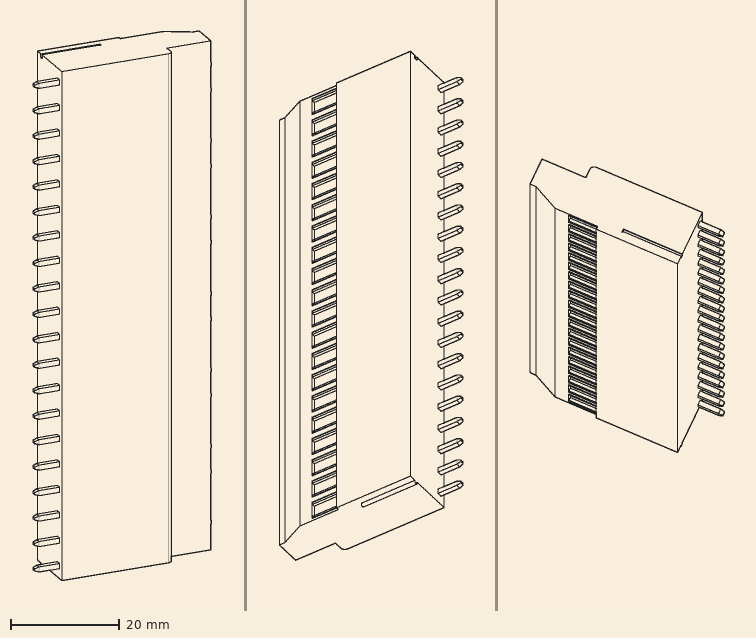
import cadquery as cq

overall_height = 102.2
pole_count = 20
pitch = 5.08
body_height = pole_count * pitch

body_width = 11.1
body_depth = 31.4
side_step = 0.6
side_step_y = 16.6
slope_start_y = 25.1
slope_end_y = 30.1
rear_left_x = 3.1
rear_right_x = 8.5
shoulder_y = 22.5
shoulder_radius = 0.9

window_height = 3.8
window_end_y = 22.4
window_depth = 0.1
slot_height = 2.9
slot_depth = 0.7

pin_x = 9.6
pin_size = 1.0
pin_length = 5.0
pin_tip_length = 0.8
pin_tip_height = 0.4
pin_tip_width = 0.8

nub_group = 3
skipped_joint = 2
nub_x = 7.3
nub_radius = 0.7
nub_projection = 0.6

bead_x = 1.8
bead_radius = 0.4
bead_projection = overall_height - body_height
bead_length = 12.0
groove_depth = 0.77


def pole_z(index):
    return (index + 0.5) * pitch


def make_body():
    outline = (
        cq.Workplane("XY")
        .moveTo(0, 0)
        .lineTo(body_width, 0)
        .lineTo(body_width, shoulder_y - shoulder_radius)
        .radiusArc((body_width - shoulder_radius, shoulder_y), -shoulder_radius)
        .lineTo(rear_right_x, shoulder_y)
        .lineTo(rear_right_x, body_depth)
        .lineTo(rear_left_x, body_depth)
        .lineTo(rear_left_x, slope_end_y)
        .lineTo(side_step, slope_start_y)
        .lineTo(side_step, side_step_y)
        .lineTo(0, side_step_y)
        .close()
    )
    return outline.extrude(body_height)


def make_window(z):
    length = window_end_y - side_step_y

    def recess(height, depth):
        block = cq.Workplane("XY").box(depth, length, height, centered=(False, False, True))
        return block.translate((side_step, side_step_y, z))

    return recess(window_height, window_depth).union(recess(slot_height, slot_depth))


def make_pin(z):
    straight_length = pin_length - pin_tip_length
    front = cq.Workplane("XZ", origin=(pin_x, 0, z))
    shank = front.rect(pin_size, pin_size).extrude(straight_length)
    tip = (
        shank.faces("<Y")
        .workplane(centerOption="CenterOfMass")
        .rect(pin_size, pin_size)
        .workplane(offset=pin_tip_length)
        .rect(pin_tip_width, pin_tip_height)
        .loft(combine=False)
    )
    return shank.union(tip)


def make_nub(z):
    center_y = body_depth + nub_projection - nub_radius
    return cq.Workplane("XY").sphere(nub_radius).translate((nub_x, center_y, z))


def make_bead(bottom_z):
    profile = cq.Workplane("XZ", origin=(bead_x, 0, bottom_z + bead_radius)).circle(bead_radius)
    return profile.extrude(-bead_length)


result = make_body()
for pole in range(pole_count):
    result = result.cut(make_window(pole_z(pole))).union(make_pin(pole_z(pole)))
for joint in range(1, pole_count):
    if joint % nub_group != skipped_joint:
        result = result.union(make_nub(joint * pitch))
result = result.union(make_bead(-bead_projection)).cut(make_bead(body_height - groove_depth))